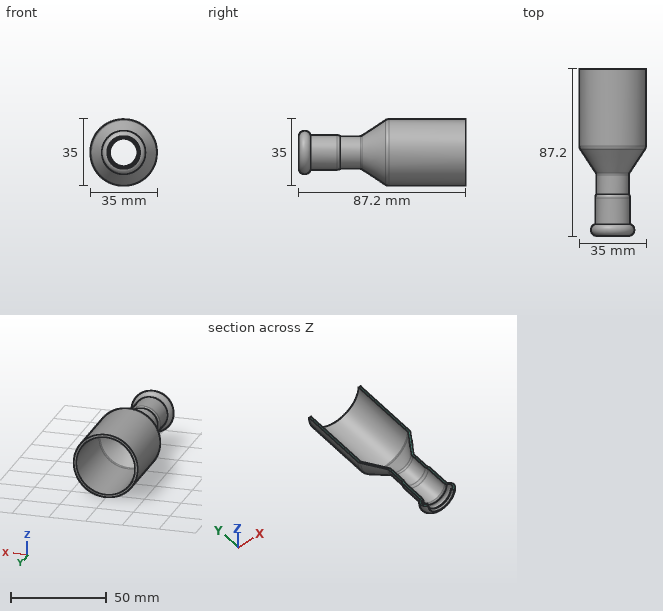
import cadquery as cq
import math

length = 87.2
wall = 1.5

body_radius = 35.0 / 2
neck_radius = 17.2 / 2
socket_radius = 18.3 / 2
bead_radius = 22.85 / 2

body_bore = body_radius - wall
neck_bore = 14.2 / 2
socket_bore = 15.3 / 2
throat_bore = 15.7 / 2
mouth_bore = 17.2 / 2

socket_end = 20.0
neck_start = 21.8
neck_end = 32.1
body_start = 47.1

tight_bend = 1.75
wide_bend = tight_bend + wall
cone_angle = math.radians(33.8)

rim_radius = 3.2
rim_centre = bead_radius - rim_radius
rim_middle = math.sqrt(rim_radius**2 - (mouth_bore - rim_centre) ** 2)
bead_end = rim_middle + math.sqrt(rim_radius**2 - (socket_radius - rim_centre) ** 2)
groove_radius = bead_radius - wall
mouth_depth = 1.3
groove_start = 1.7
groove_end = 5.0
throat_start = 5.8
throat_end = 6.6


def add_cone(profile, small_radius, large_radius, small_bend, large_bend):
    """Continue a neck line at neck_end over both bends and the cone to body_start."""
    def bend_point(y_centre, radius_centre, bend, angle):
        return radius_centre + bend * math.cos(angle), y_centre + bend * math.sin(angle)

    neck_centre = small_radius + small_bend
    body_centre = large_radius - large_bend
    half = cone_angle / 2
    return (
        profile.lineTo(small_radius, neck_end)
        .threePointArc(
            bend_point(neck_end, neck_centre, small_bend, math.pi - half),
            bend_point(neck_end, neck_centre, small_bend, math.pi - cone_angle),
        )
        .lineTo(*bend_point(body_start, body_centre, large_bend, -cone_angle))
        .threePointArc(
            bend_point(body_start, body_centre, large_bend, -half),
            (large_radius, body_start),
        )
    )


def revolve_profile(profile):
    return profile.close().revolve(360, (0, 0, 0), (0, 1, 0))


def make_outside():
    step_back = wide_bend - math.sqrt(wide_bend**2 - ((neck_start - socket_end) / 2) ** 2)
    step_middle = (socket_radius - step_back, (socket_end + neck_start) / 2)
    profile = (
        cq.Workplane("XY")
        .lineTo(mouth_bore, 0)
        .threePointArc((bead_radius, rim_middle), (socket_radius, bead_end))
        .lineTo(socket_radius, socket_end)
        .threePointArc(step_middle, (neck_radius, neck_start))
    )
    profile = add_cone(profile, neck_radius, body_radius, tight_bend, wide_bend)
    return revolve_profile(profile.lineTo(body_radius, length).lineTo(0, length))


def make_bore():
    profile = (
        cq.Workplane("XY")
        .lineTo(mouth_bore, 0)
        .lineTo(throat_bore, mouth_depth)
        .lineTo(throat_bore, groove_start)
        .threePointArc(
            (groove_radius, (groove_start + groove_end) / 2),
            (throat_bore, groove_end),
        )
        .lineTo(throat_bore, throat_start)
        .lineTo(socket_bore, throat_end)
        .lineTo(socket_bore, socket_end)
        .lineTo(neck_bore, neck_start)
    )
    profile = add_cone(profile, neck_bore, body_bore, wide_bend, tight_bend)
    return revolve_profile(profile.lineTo(body_bore, length).lineTo(0, length))


result = make_outside().cut(make_bore())